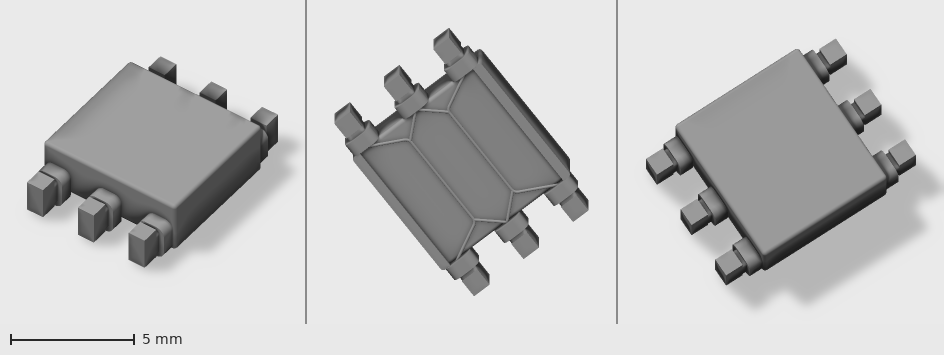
import cadquery as cq

HOUSING_LENGTH = 6.6
HOUSING_WIDTH = 6.0
HOUSING_TOP = 2.5
RAIL_BOTTOM = 0.17
RAIL_THICKNESS = 0.4
UNDERSIDE_Z = 0.4
HOUSING_ROUNDING = 0.15
HOUSING_FACE_Y = HOUSING_WIDTH / 2

TERMINAL_PITCH = 2.54
TERMINAL_XS = [-TERMINAL_PITCH, 0, TERMINAL_PITCH]
COLLAR_WIDTH = 1.27
COLLAR_HEIGHT = 1.58
COLLAR_LENGTH = 0.6
COLLAR_ROUNDING = 0.38
BLOCK_WIDTH = 0.8
BLOCK_HEIGHT = 1.5
BLOCK_LENGTH = 0.8
NECK_LENGTH = 0.2

NECK_WIDTH = BLOCK_WIDTH
NECK_HEIGHT = 1.15
NECK_ROUNDING = 0.15
NECK_BOTTOM = (COLLAR_HEIGHT - NECK_HEIGHT) / 2

WIRE_DIAMETER = 0.12
WIRE_Z = UNDERSIDE_Z - WIRE_DIAMETER / 2
RUN_X = 0.99
RUN_HALF_LENGTH = 2.2
INNER_JOINT_Y = 2.1
WIRE_BEND_RADIUS = 0.3


def make_bar(width, height, y_start, length, z_bottom):
    """A rectangular bar along Y, centred on X = 0."""
    return cq.Workplane("XY").box(width, length, height, centered=(True, False, False)).translate(
        (0, y_start, z_bottom)
    )


def make_terminal():
    """The terminal at X = 0 on the +Y side."""
    collar = make_bar(COLLAR_WIDTH, COLLAR_HEIGHT, HOUSING_FACE_Y, COLLAR_LENGTH, 0)
    collar = collar.edges("|Y").fillet(COLLAR_ROUNDING)

    neck_y = HOUSING_FACE_Y + COLLAR_LENGTH
    neck = make_bar(NECK_WIDTH, NECK_HEIGHT, neck_y, NECK_LENGTH, NECK_BOTTOM)
    neck = neck.edges("|Y").fillet(NECK_ROUNDING)

    block = make_bar(BLOCK_WIDTH, BLOCK_HEIGHT, neck_y + NECK_LENGTH, BLOCK_LENGTH, RAIL_BOTTOM)
    return collar.union(neck).union(block)


def make_housing():
    block = make_bar(
        HOUSING_LENGTH, HOUSING_TOP - RAIL_BOTTOM, -HOUSING_FACE_Y, HOUSING_WIDTH, RAIL_BOTTOM
    )
    block = block.edges("|Z or >Z").fillet(HOUSING_ROUNDING)

    gap_width = HOUSING_LENGTH - 2 * RAIL_THICKNESS
    gap = make_bar(gap_width, UNDERSIDE_Z - RAIL_BOTTOM, -HOUSING_FACE_Y, HOUSING_WIDTH, RAIL_BOTTOM)
    block = block.cut(gap)
    underside = block.faces(cq.selectors.NearestToPointSelector((0, 0, UNDERSIDE_Z)))
    housing = underside.edges("|X").fillet(HOUSING_ROUNDING)

    terminal = make_terminal()
    for x in TERMINAL_XS:
        placed = terminal.translate((x, 0, 0))
        housing = housing.union(placed).union(placed.mirror("XZ"))
    return housing


def make_strand(path):
    """Round wire along a path, which may be one straight edge or several joined edges."""
    start_plane = cq.Plane(origin=path.startPoint(), normal=path.tangentAt(0))
    return cq.Workplane(start_plane).circle(WIRE_DIAMETER / 2).sweep(path)


def overshoot(terminal, inner_point):
    """The start of a slanted lead, far enough past the housing's end face to be trimmed flush."""
    return terminal - (inner_point - terminal).normalized() * WIRE_DIAMETER


def make_outer_strand():
    """From the outer terminal, along the run and back to the opposite outer terminal, on the +X side."""
    terminal = cq.Vector(TERMINAL_PITCH, -HOUSING_FACE_Y, WIRE_Z)
    run_start = cq.Vector(RUN_X, -RUN_HALF_LENGTH, WIRE_Z)
    run_end = cq.Vector(RUN_X, RUN_HALF_LENGTH, WIRE_Z)
    path_start = overshoot(terminal, run_start)
    path_end = cq.Vector(path_start.x, -path_start.y, WIRE_Z)

    sharp_path = cq.Wire.makePolygon([path_start, run_start, run_end, path_end])
    return make_strand(sharp_path.fillet(WIRE_BEND_RADIUS, sharp_path.Vertices()[1:3]))


def make_inner_lead():
    """From the middle terminal at -Y straight into the run on the +X side."""
    terminal = cq.Vector(0, -HOUSING_FACE_Y, WIRE_Z)
    joint = cq.Vector(RUN_X, -INNER_JOINT_Y, WIRE_Z)
    return make_strand(cq.Wire.makePolygon([overshoot(terminal, joint), joint]))


def make_winding():
    """Both runs with their leads, joined to each other at the middle terminals."""
    inner_lead = make_inner_lead()
    one_side = make_outer_strand().union(inner_lead).union(inner_lead.mirror("XZ"))
    winding = one_side.union(one_side.mirror("YZ"))

    between_collars = make_bar(HOUSING_LENGTH, HOUSING_TOP, -HOUSING_FACE_Y, HOUSING_WIDTH, 0)
    return winding.intersect(between_collars)


housing = make_housing()
winding = make_winding()
result = cq.Compound.makeCompound([housing.solids().val(), winding.solids().val()])